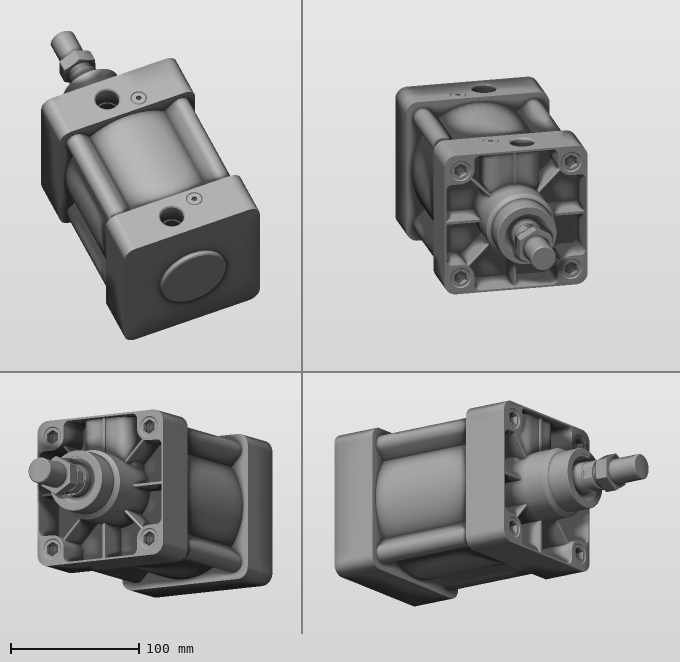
import cadquery as cq
import math


cap_size = 115.0
cap_length = 36.6
cap_corner_radius = 9.3
tube_length = 89.5
tube_diameter = 106.3
tie_rod_diameter = 15.5
bolt_offset = 44.5
rear_cap_start = cap_length + tube_length
rear_cap_end = rear_cap_start + cap_length

boss_diameter = 55.0
boss_length = 15.2
boss_chamfer = 3.0
nose_diameter = 48.0
nose_end = -36.6
nose_chamfer = 0.5
rear_boss_length = 4.0
rear_boss_chamfer = 1.0

pocket_wall = 1.5
pocket_depth = 29.7
pocket_fillet = 4.5
lobe_radius = 10.8
rib_inset = 5.2
straight_rib_width = 2.0
diagonal_rib_width = 2.3
port_block_width = 45.0
port_block_inset = 6.7
port_block_rounding = 11.0

bolt_recess_diameter = 16.5
bolt_recess_floor_diameter = 15.0
bolt_recess_depth = 0.8
bolt_hex_corners = 11.5
bolt_hex_depth = 6.5
bolt_bore_diameter = 8.5
bolt_bore_depth = 7.7

port_inset = cap_length / 2
port_y = -9.3
port_thread_diameter = 18.5
port_thread_depth = 16.0
port_chamfer = 1.0
port_core_diameter = 16.0
vent_inset = 27.0
vent_y = 13.7
vent_groove_outer = 13.0
vent_groove_root = 12.0
vent_groove_inner = 10.8
vent_groove_depth = 0.8
vent_socket_diameter = 4.0
vent_socket_depth = 2.0

wiper_mouth_diameter = 35.3
wiper_mouth_depth = 1.0
wiper_seat_diameter = 31.0
wiper_seat_depth = 2.3
wiper_lip_diameter = 26.8
wiper_lip_depth = 3.5
notch_width = 7.7
notch_height = 1.5
notch_depth = 0.5

rod_diameter = 25.0
rod_tip = -91.0
collar_start = -41.8
shank_diameter = 24.0
shank_start = -51.3
shank_chamfer = 0.65
flats_width = 22.2
flats_end = -43.0
thread_diameter = 20.0
thread_tip_diameter = 18.5
nut_start = -66.3
nut_length = 10.0
nut_across_flats = 26.0
nut_chamfer_height = 1.5

half_cap = cap_size / 2
bore_end = rear_cap_end - port_inset
nut_corners = nut_across_flats / math.cos(math.pi / 6)
bolt_places = [(y, z) for y in (-bolt_offset, bolt_offset) for z in (-bolt_offset, bolt_offset)]


def section(x):
    """Sketch plane across the axis: local x is Y, local y is Z, extrusion runs to +X."""
    return cq.Workplane("YZ", origin=(x, 0, 0))


def disc(x_start, x_end, diameter):
    return section(x_start).circle(diameter / 2).extrude(x_end - x_start)


def turned(points, place=(0, 0, 0)):
    """Solid of revolution about a vertical axis from (radius, height) points."""
    return cq.Workplane("XZ").polyline(points).close().revolve(360, (0, 0), (0, 1)).translate(place)


def cap_block(x_start):
    block = section(x_start).rect(cap_size, cap_size).extrude(cap_length)
    return block.edges("|X").fillet(cap_corner_radius)


def tube_with_tie_rods():
    """Round tube whose four tie rods are joined to it by diagonal webs."""
    body = disc(cap_length, rear_cap_start, tube_diameter)
    diagonal = math.hypot(bolt_offset, bolt_offset)
    for angle in (45, 135, 225, 315):
        web = section(cap_length).center(diagonal / 2, 0)
        web = web.rect(diagonal, tie_rod_diameter).extrude(tube_length)
        rod = section(cap_length).center(diagonal, 0).circle(tie_rod_diameter / 2).extrude(tube_length)
        body = body.union(web.union(rod).rotate((0, 0, 0), (1, 0, 0), angle))
    return body


def front_pocket():
    """Hollow behind the front cap face, leaving a thin wall and a lobe around each bolt."""
    long_side = cap_size - 2 * pocket_wall
    short_side = 2 * (bolt_offset - lobe_radius)
    flat_bar = section(0).rect(long_side, short_side).extrude(pocket_depth)
    flat_bar = flat_bar.edges("|X").fillet(pocket_fillet)
    upright_bar = flat_bar.rotate((0, 0, 0), (1, 0, 0), 90)
    middle = section(0).rect(2 * bolt_offset, 2 * bolt_offset).extrude(pocket_depth)
    lobes = section(0).pushPoints(bolt_places).circle(lobe_radius).extrude(pocket_depth)
    return flat_bar.union(upright_bar).union(middle.cut(lobes))


def pocket_ribs():
    """Four flat-topped straight ribs and four round-topped diagonal ribs that run out from the boss."""
    crest_radius = diagonal_rib_width / 2
    depth = pocket_depth - rib_inset
    straight_length = half_cap - pocket_wall
    diagonal_length = math.hypot(bolt_offset, bolt_offset)
    ribs = cq.Workplane()
    for turn in range(4):
        straight = section(rib_inset).center(straight_length / 2, 0)
        straight = straight.rect(straight_length, straight_rib_width).extrude(depth)
        diagonal = section(rib_inset + crest_radius).center(diagonal_length / 2, 0)
        diagonal = diagonal.rect(diagonal_length, diagonal_rib_width).extrude(depth - crest_radius)
        crest = cq.Workplane("XZ", origin=(rib_inset + crest_radius, 0, 0))
        crest = crest.circle(crest_radius).extrude(-diagonal_length)
        diagonal = diagonal.union(crest)
        ribs = ribs.add(straight.rotate((0, 0, 0), (1, 0, 0), 90 * turn))
        ribs = ribs.add(diagonal.rotate((0, 0, 0), (1, 0, 0), 90 * turn + 45))
    return ribs.combine()


def port_block():
    """Rounded block in the pocket that surrounds the front port."""
    height = half_cap - pocket_wall
    block = section(port_block_inset).center(0, height / 2)
    block = block.rect(port_block_width, height).extrude(pocket_depth - port_block_inset)
    return block.faces("<X").edges("|Z").fillet(port_block_rounding)


def front_boss():
    boss = disc(-boss_length - boss_chamfer, pocket_depth, boss_diameter).faces("<X").chamfer(boss_chamfer)
    nose = disc(nose_end, 0, nose_diameter).faces("<X").edges().chamfer(nose_chamfer)
    return boss.union(nose)


def rear_boss():
    boss = disc(rear_cap_end, rear_cap_end + rear_boss_length, boss_diameter)
    return boss.faces(">X").chamfer(rear_boss_chamfer)


def bolt_socket(y, z):
    """Shallow tapered recess with a hexagon socket and a round bore below it."""
    socket = section(0).circle(bolt_recess_diameter / 2)
    socket = socket.workplane(offset=bolt_recess_depth).circle(bolt_recess_floor_diameter / 2).loft()
    hexagon = section(0).polygon(6, bolt_hex_corners).extrude(bolt_hex_depth)
    socket = socket.union(hexagon.rotate((0, 0, 0), (1, 0, 0), 90))
    return socket.union(disc(0, bolt_bore_depth, bolt_bore_diameter)).translate((0, y, z))


def port(x):
    """Chamfered thread bore over a narrower core that reaches the rod axis."""
    core_radius = port_core_diameter / 2
    thread_radius = port_thread_diameter / 2
    thread_end = half_cap - port_thread_depth
    return turned([
        (0, 0),
        (core_radius, 0),
        (core_radius, thread_end),
        (thread_radius, thread_end),
        (thread_radius, half_cap - port_chamfer),
        (thread_radius + port_chamfer, half_cap),
        (0, half_cap),
    ], (x, port_y, 0))


def vent_screw(x):
    """V-shaped ring groove around the screw head, with a hexagon socket in the middle."""
    groove = turned([
        (vent_groove_inner / 2, half_cap),
        (vent_groove_root / 2, half_cap - vent_groove_depth),
        (vent_groove_outer / 2, half_cap),
    ], (x, vent_y, 0))
    socket_radius = vent_socket_diameter / 2
    socket_floor = half_cap - vent_socket_depth
    hexagon = cq.Workplane("XY", origin=(x, vent_y, socket_floor))
    hexagon = hexagon.polygon(6, vent_socket_diameter / math.cos(math.pi / 6)).extrude(vent_socket_depth)
    hexagon = hexagon.rotate((x, vent_y, 0), (x, vent_y, 1), 90)
    tip = turned([
        (0, socket_floor - socket_radius),
        (socket_radius, socket_floor),
        (0, socket_floor),
    ], (x, vent_y, 0))
    return groove.union(hexagon.union(tip))


def rod_bore():
    """Bore for the rod with the tapered wiper recess and removal notch at its mouth."""
    bore = disc(nose_end, bore_end, rod_diameter)
    recess = cq.Workplane("XY").polyline([
        (nose_end, 0),
        (nose_end, wiper_mouth_diameter / 2),
        (nose_end + wiper_mouth_depth, wiper_mouth_diameter / 2),
        (nose_end + wiper_seat_depth, wiper_seat_diameter / 2),
        (nose_end + wiper_lip_depth, wiper_lip_diameter / 2),
        (nose_end + wiper_lip_depth, 0),
    ]).close().revolve(360, (0, 0), (1, 0))
    notch_top = wiper_mouth_diameter / 2 + notch_height
    notch = section(nose_end).center(0, notch_top / 2).rect(notch_width, notch_top).extrude(notch_depth)
    return bore.union(recess).union(notch)


def make_housing():
    front_cap = cap_block(0).cut(front_pocket())
    filling = pocket_ribs().union(port_block())
    housing = front_cap.union(filling).union(front_boss())
    housing = housing.union(tube_with_tie_rods()).union(cap_block(rear_cap_start)).union(rear_boss())
    for y, z in bolt_places:
        housing = housing.cut(bolt_socket(y, z))
    housing = housing.cut(rod_bore())
    for x in (port_inset, rear_cap_end - port_inset):
        housing = housing.cut(port(x))
    for x in (vent_inset, rear_cap_end - vent_inset):
        housing = housing.cut(vent_screw(x))
    return housing


def make_nut():
    """Hexagon with corners on Z, chamfered on the side facing the housing."""
    nut = section(nut_start).polygon(6, nut_corners).extrude(nut_length)
    nut = nut.rotate((0, 0, 0), (1, 0, 0), 90)
    rounding = disc(nut_start, nut_start + nut_length, nut_corners)
    rounding = rounding.faces(">X").chamfer(nut_chamfer_height / 2, nut_chamfer_height)
    return nut.intersect(rounding)


def make_piston_rod():
    """Threaded end with its nut, shank with four spanner flats, and the sliding rod."""
    tip_chamfer = (thread_diameter - thread_tip_diameter) / 2
    thread = disc(rod_tip, shank_start, thread_diameter).faces("<X").chamfer(tip_chamfer)
    shank = disc(shank_start, collar_start, shank_diameter).faces("<X").chamfer(shank_chamfer)
    square = section(shank_start).rect(flats_width, flats_width).extrude(flats_end - shank_start)
    shank = shank.intersect(square.union(disc(flats_end, collar_start, shank_diameter)))
    rod = disc(collar_start, rear_cap_start, rod_diameter)
    return rod.union(shank).union(thread).union(make_nut())


housing = make_housing()
piston_rod = make_piston_rod()
result = cq.Compound.makeCompound([housing.val(), piston_rod.val()])